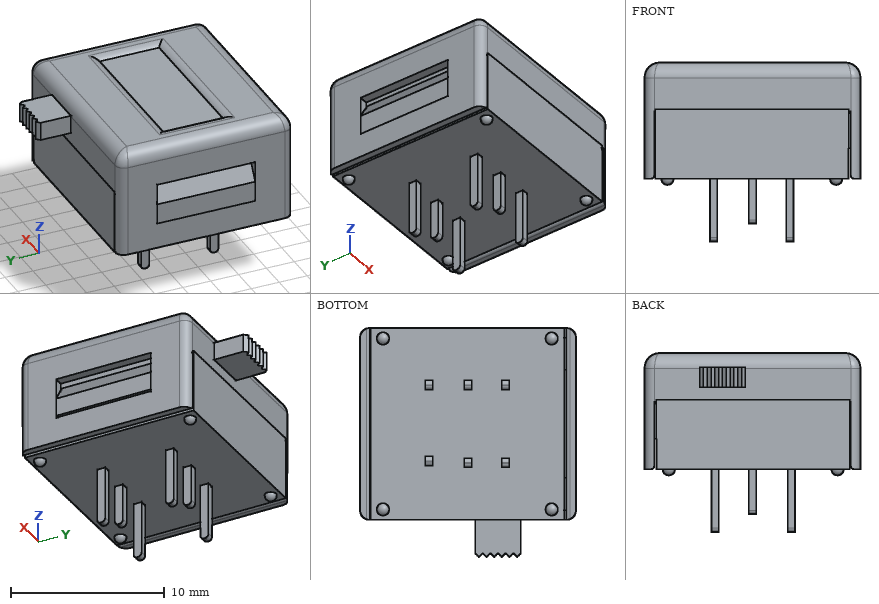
import cadquery as cq
import math

cover_width = 14.1
cover_depth = 12.53
cover_height = 7.6
wall = 0.65
top_edge_radius = 1.0
side_edge_radius = 0.63
leg_edge_radius = 0.22
notch_height = 4.38

recess_width = 11.23
recess_length = 5.37
recess_end_slope = 0.61
recess_side_slope = 0.55
recess_depth = 0.25

window_length = 7.04
window_bottom_z = 1.84
window_height = 2.93
left_tab_bottom_z = window_bottom_z
right_tab_bottom_z = 1.99
tab_ramp_start_z = 3.29
tab_top_z = 4.48

slider_width = 2.99
slider_x = 1.96
slider_bottom_z = 5.35
slider_height = 1.3
slider_reach = 2.42
slider_inner_y = 0.0
slider_tip_y = cover_depth / 2 + slider_reach
tooth_count = 6

base_x = -0.05
base_width = 12.62
base_height = 4.55
foot_radius = 0.4
foot_spacing_x = 11.0
foot_spacing_y = 11.15

pin_width = 0.5
pin_thickness = 0.6
pin_tip_radius = 0.27
pin_embed = 1.0
long_pin_drop = 4.1
short_pin_drop = 2.93
left_pin_x = -2.54
middle_pin_x = 0.0
right_pin_x = 2.44
pin_row_y = 2.54
rear_left_pin_y = 2.42

cavity_width = cover_width - 2 * wall
cavity_depth = cover_depth - 2 * wall
cavity_height = slider_bottom_z + slider_height
base_left_x = base_x - base_width / 2
base_right_x = base_x + base_width / 2

pin_places = [
    (left_pin_x, -pin_row_y, long_pin_drop),
    (middle_pin_x, -pin_row_y, short_pin_drop),
    (right_pin_x, -pin_row_y, long_pin_drop),
    (left_pin_x, rear_left_pin_y, long_pin_drop),
    (middle_pin_x, pin_row_y, short_pin_drop),
    (right_pin_x, pin_row_y, long_pin_drop),
]


def block(width, depth, height, x=0.0, y=0.0, z=0.0):
    """A box centred on (x, y) that stands on z."""
    return cq.Workplane("XY", origin=(x, y, z)).box(width, depth, height, centered=(True, True, False))


def dished_prism(plane, span, slope, length):
    """A shallow trough whose two long walls are arcs that start level with the cover top."""
    arc_radius = (slope**2 + recess_depth**2) / (2 * recess_depth)
    half_angle = math.asin(slope / arc_radius) / 2
    mid_in = arc_radius * math.sin(half_angle)
    mid_down = arc_radius * (1 - math.cos(half_angle))
    rim = span / 2
    floor = rim - slope
    return (
        cq.Workplane(plane, origin=(0, 0, cover_height))
        .moveTo(-rim, 0)
        .threePointArc((-rim + mid_in, -mid_down), (-floor, -recess_depth))
        .lineTo(floor, -recess_depth)
        .threePointArc((rim - mid_in, -mid_down), (rim, 0))
        .close()
        .extrude(length / 2, both=True)
    )


def make_label_recess():
    """The two troughs crossed, so that their walls meet in mitred corners."""
    across = dished_prism("XZ", recess_width, recess_end_slope, recess_length)
    along = dished_prism("YZ", recess_length, recess_side_slope, recess_width)
    return across.intersect(along)


def make_slider():
    """A flat lever through the rear wall, with grip teeth across its tip."""
    tooth_pitch = slider_width / tooth_count
    tooth_depth = tooth_pitch / 2
    left = slider_x - slider_width / 2
    root_y = slider_tip_y - tooth_depth
    outline = [(left, slider_inner_y), (left, root_y)]
    for tooth in range(tooth_count):
        start = left + tooth * tooth_pitch
        outline.append((start + tooth_pitch / 2, slider_tip_y))
        outline.append((start + tooth_pitch, root_y))
    outline.append((left + slider_width, slider_inner_y))
    return (
        cq.Workplane("XY", origin=(0, 0, slider_bottom_z))
        .polyline(outline)
        .close()
        .extrude(slider_height)
    )


def make_pin(x, y, drop):
    """A flat pin that starts inside the base and has its two tip edges rounded."""
    pin = block(pin_width, pin_thickness, drop + pin_embed, x, y, -drop)
    return pin.faces("<Z").edges("|X").fillet(pin_tip_radius)


def make_tab(wall_x, outer_x, bottom_z):
    """A latch tab: a ramp from the base wall down to an upright face level with the cover end."""
    profile = [
        (wall_x, bottom_z),
        (outer_x, bottom_z),
        (outer_x, tab_ramp_start_z),
        (wall_x, tab_top_z),
    ]
    return cq.Workplane("XZ").polyline(profile).close().extrude(window_length / 2, both=True)


def make_base(pins):
    """The block in the cover's notch, with a core that fills the cavity up to the slider."""
    base = block(base_width, cover_depth, base_height, base_x)
    base = base.union(block(base_width, cavity_depth, slider_bottom_z, base_x))
    base = base.union(make_tab(base_left_x, -cover_width / 2, left_tab_bottom_z))
    base = base.union(make_tab(base_right_x, cover_width / 2, right_tab_bottom_z))
    feet = (
        cq.Workplane("XY", origin=(base_x, 0, 0))
        .rect(foot_spacing_x, foot_spacing_y, forConstruction=True)
        .vertices()
        .sphere(foot_radius)
    )
    base = base.union(feet)
    for pin in pins:
        base = base.cut(pin)
    return base


def make_cover(slider):
    """A rounded shell, open below, notched front and rear for the base."""
    cover = block(cover_width, cover_depth, cover_height)
    cover = cover.faces(">Z").edges().fillet(top_edge_radius)
    cover = cover.edges("|Z").fillet(side_edge_radius)
    cover = cover.cut(make_label_recess())
    cover = cover.cut(block(cavity_width, cavity_depth, cavity_height))

    cover = cover.cut(block(cavity_width, cover_depth, notch_height))
    for side in (-1, 1):
        leg_edge = cq.selectors.NearestToPointSelector((side * cavity_width / 2, 0, 0))
        cover = cover.edges(leg_edge).fillet(leg_edge_radius)

    cover = cover.cut(block(base_width, cover_depth, base_height, base_x))

    cover = cover.cut(block(cover_width, window_length, window_height, z=window_bottom_z))
    return cover.cut(slider)


pins = [make_pin(x, y, drop) for x, y, drop in pin_places]
slider = make_slider()
base = make_base(pins)
cover = make_cover(slider)

result = cq.Compound.makeCompound(
    [cover.val(), base.val(), slider.val(), *[pin.val() for pin in pins]]
)